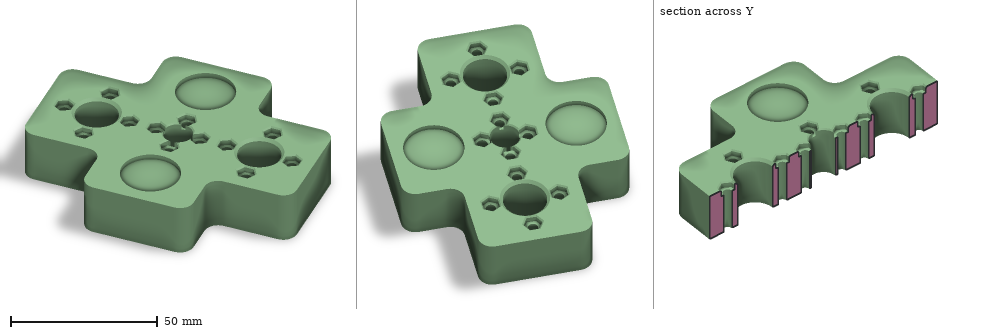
import cadquery as cq
import math

LENGTH = 100.0
WIDTH = 80.0
THICKNESS = 19.0
ARM_WIDTH = 40.0
CORNER_RADIUS = 5.0

RECESS_DIAMETER = 21.0
RECESS_DEPTH = 2.0
RECESS_OFFSET = 25.0

SIDE_BORE_DIAMETER = 15.2
SIDE_BORE_CHAMFER = 1.0
SIDE_BORE_OFFSET = 30.0
SIDE_SCREW_RADIUS = 12.0
CENTER_BORE_DIAMETER = 10.4
CENTER_BORE_CHAMFER = 0.5
CENTER_SCREW_RADIUS = 8.0

SCREW_DIAMETER = 3.5
WIDE_SCREW_DIAMETER = 3.9
NUT_FLATS = 5.7
NUT_DEPTH = 2.5
NUT_CHAMFER = 0.5
SCREWS_PER_BORE = 4


def make_plate():
    """Cross with all vertical edges rounded and its top face at Z = 0."""
    long_bar = cq.Workplane("XY").box(LENGTH, ARM_WIDTH, THICKNESS)
    short_bar = cq.Workplane("XY").box(ARM_WIDTH, WIDTH, THICKNESS)
    cross = long_bar.union(short_bar).edges("|Z").fillet(CORNER_RADIUS)
    return cross.translate((0, 0, -THICKNESS / 2))


def make_bore(diameter, chamfer):
    """Through bore with a chamfered top rim; the plate top is at Z = 0."""
    bore = cq.Workplane("XY").circle(diameter / 2).extrude(-THICKNESS)
    rim = (
        cq.Workplane("XY")
        .circle(diameter / 2 + chamfer)
        .workplane(offset=-chamfer)
        .circle(diameter / 2)
        .loft()
    )
    return bore.union(rim)


def hexagon_diameter(flats):
    """Corner-to-corner size of a hexagon from its size across flats."""
    return flats / math.cos(math.pi / 6)


def make_nut_seat():
    """Screw hole under a hexagonal pocket whose flats face along X."""
    hole = cq.Workplane("XY").circle(SCREW_DIAMETER / 2).extrude(-THICKNESS)
    corners = hexagon_diameter(NUT_FLATS)
    mouth_corners = hexagon_diameter(NUT_FLATS + 2 * NUT_CHAMFER)
    pocket = cq.Workplane("XY").polygon(6, corners).extrude(-NUT_DEPTH)
    mouth = (
        cq.Workplane("XY")
        .polygon(6, mouth_corners)
        .workplane(offset=-NUT_CHAMFER)
        .polygon(6, corners)
        .loft()
    )
    seat = hole.union(pocket).union(mouth)
    turn_flats_to_x = 30
    return seat.rotate((0, 0, 0), (0, 0, 1), turn_flats_to_x)


def make_bore_group(bore_diameter, bore_chamfer, screw_radius):
    group = make_bore(bore_diameter, bore_chamfer)
    seat = make_nut_seat().translate((screw_radius, 0, 0))
    for index in range(SCREWS_PER_BORE):
        angle = index * 360 / SCREWS_PER_BORE
        group = group.union(seat.rotate((0, 0, 0), (0, 0, 1), angle))
    return group


def make_wide_screw_hole():
    """Larger screw hole on the +Y side of the center bore."""
    hole = cq.Workplane("XY").circle(WIDE_SCREW_DIAMETER / 2).extrude(-THICKNESS)
    return hole.translate((0, CENTER_SCREW_RADIUS, 0))


def make_recess():
    return cq.Workplane("XY").circle(RECESS_DIAMETER / 2).extrude(-RECESS_DEPTH)


center_group = make_bore_group(CENTER_BORE_DIAMETER, CENTER_BORE_CHAMFER, CENTER_SCREW_RADIUS)
result = make_plate().cut(center_group).cut(make_wide_screw_hole())
side_group = make_bore_group(SIDE_BORE_DIAMETER, SIDE_BORE_CHAMFER, SIDE_SCREW_RADIUS)
for side in (-1, 1):
    result = result.cut(side_group.translate((side * SIDE_BORE_OFFSET, 0, 0)))
    result = result.cut(make_recess().translate((0, side * RECESS_OFFSET, 0)))